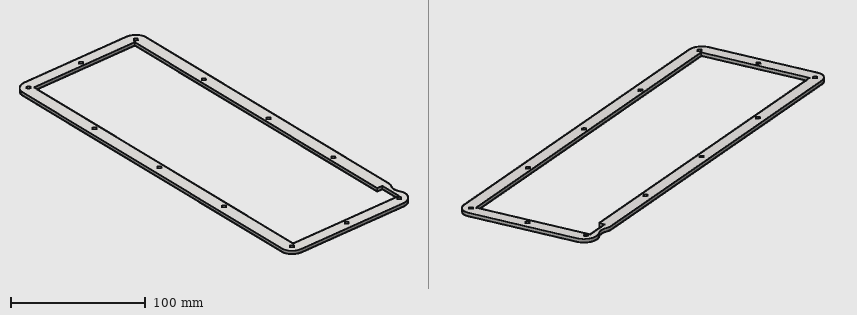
import cadquery as cq
import math

LENGTH = 327.0
WIDTH = 117.5
THICKNESS = 3.0
TILT_ANGLE = 3.0
CORNER_RADIUS = 10.5

END_RAIL_WIDTH = 10.5
SIDE_RAIL_WIDTH = 10.8

RELIEF_LENGTH = 19.5
RELIEF_WALL = 6.0

HOLE_DIAMETER = 3.3
SIDE_HOLE_SPACING = 76.5
SIDE_HOLE_Y = 52.0
END_HOLE_X = 157.0
CORNER_HOLE_X = 155.5
CORNER_HOLE_Y = 51.0

half_length = LENGTH / 2
half_width = WIDTH / 2
opening_x = half_length - END_RAIL_WIDTH
opening_y = half_width - SIDE_RAIL_WIDTH


def rounded_plate():
    plate = cq.Workplane("XY").rect(LENGTH, WIDTH).extrude(THICKNESS)
    return plate.edges("|Z").fillet(CORNER_RADIUS)


def opening():
    return cq.Workplane("XY").rect(2 * opening_x, 2 * opening_y).extrude(THICKNESS)


def rear_relief():
    """Rectangular pocket that widens the opening toward the rear edge."""
    relief_top = half_width - RELIEF_WALL
    return (
        cq.Workplane("XY")
        .moveTo(opening_x - RELIEF_LENGTH, 0)
        .lineTo(opening_x - RELIEF_LENGTH, relief_top)
        .lineTo(opening_x, relief_top)
        .lineTo(opening_x, 0)
        .close()
        .extrude(THICKNESS)
    )


def edge_dip():
    """Smooth dip in the rear edge: a hollow arc blended into two crests of equal radius.

    The right crest is the continuation of the rounded +X corner.
    """
    radius = CORNER_RADIUS
    crest_right = half_length - radius
    crest_left = crest_right - RELIEF_LENGTH
    middle = (crest_left + crest_right) / 2
    crest_center_y = half_width - radius

    blend_angle = math.asin(RELIEF_LENGTH / 2 / (2 * radius))
    blend_x = radius * math.sin(blend_angle)
    blend_y = crest_center_y + radius * math.cos(blend_angle)
    crest_mid_x = radius * math.sin(blend_angle / 2)
    crest_mid_y = crest_center_y + radius * math.cos(blend_angle / 2)
    bottom_y = crest_center_y + 2 * radius * math.cos(blend_angle) - radius

    return (
        cq.Workplane("XY")
        .moveTo(crest_left, half_width)
        .threePointArc((crest_left + crest_mid_x, crest_mid_y), (crest_left + blend_x, blend_y))
        .threePointArc((middle, bottom_y), (crest_right - blend_x, blend_y))
        .threePointArc((crest_right - crest_mid_x, crest_mid_y), (crest_right, half_width))
        .close()
        .extrude(THICKNESS)
    )


def screw_holes():
    centers = [(side * END_HOLE_X, 0) for side in (-1, 1)]
    for side in (-1, 1):
        centers += [(step * SIDE_HOLE_SPACING, side * SIDE_HOLE_Y) for step in (-1, 0, 1)]
        centers += [(end * CORNER_HOLE_X, side * CORNER_HOLE_Y) for end in (-1, 1)]
    return cq.Workplane("XY").pushPoints(centers).circle(HOLE_DIAMETER / 2).extrude(THICKNESS)


frame = rounded_plate()
for cutter in (opening(), rear_relief(), edge_dip(), screw_holes()):
    frame = frame.cut(cutter)

result = frame.rotate((0, 0, 0), (1, 0, 0), TILT_ANGLE)